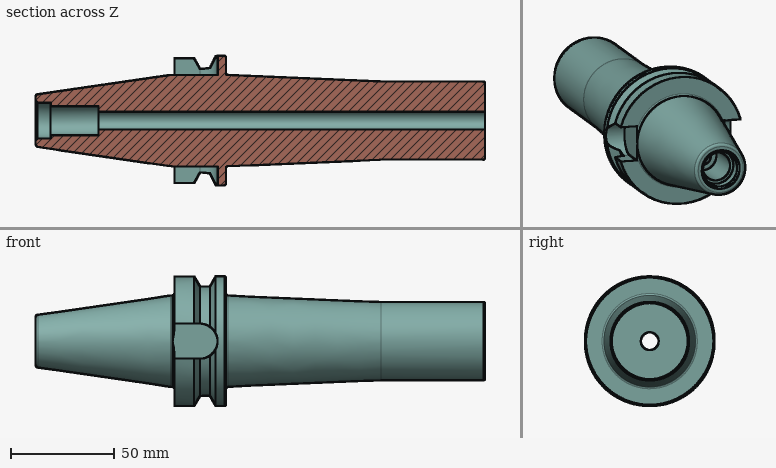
import cadquery as cq
import math

total_length = 218.0

taper_length = 65.4
taper_large_radius = 22.2
taper_rate = 7 / 24
nose_radius = taper_large_radius - taper_rate * taper_length / 2
nose_fillet = 1.5

flange_start = 67.3
flange_end = 92.4
flange_diameter = 63.0
flange_radius = flange_diameter / 2
flange_chamfer = 0.7
groove_floor_radius = 26.5
groove_floor_start = 79.8
groove_floor_end = 84.5
groove_flank_angle = 30.0
groove_flank_width = (flange_radius - groove_floor_radius) * math.tan(math.radians(groove_flank_angle))
root_fillet = 0.9

body_large_radius = 22.2
tip_diameter = 38.1
tip_radius = tip_diameter / 2
tip_start = 167.5
tip_chamfer = 0.7

slot_width = 17.0
slot_end = 88.2
slot_floor = 22.2

mouth_diameter = 19.2
pilot_diameter = 17.2
pilot_depth = 7.5
thread_bore_diameter = 14.0
thread_bore_depth = 30.5
through_diameter = 8.5
mouth_chamfer = (mouth_diameter - pilot_diameter) / 2


def turned_blank():
    """Outer shape, revolved from its half profile."""
    fillet_mid = root_fillet * (1 - math.sqrt(0.5))
    profile = (
        cq.Workplane("XY")
        .lineTo(0, nose_radius)
        .lineTo(taper_length, taper_large_radius)
        .lineTo(flange_start - root_fillet, taper_large_radius)
        .threePointArc(
            (flange_start - fillet_mid, taper_large_radius + fillet_mid),
            (flange_start, taper_large_radius + root_fillet),
        )
        .lineTo(flange_start, flange_radius)
        .lineTo(groove_floor_start - groove_flank_width, flange_radius)
        .lineTo(groove_floor_start, groove_floor_radius)
        .lineTo(groove_floor_end, groove_floor_radius)
        .lineTo(groove_floor_end + groove_flank_width, flange_radius)
        .lineTo(flange_end - flange_chamfer, flange_radius)
        .lineTo(flange_end, flange_radius - flange_chamfer)
        .lineTo(flange_end, body_large_radius + root_fillet)
        .threePointArc(
            (flange_end + fillet_mid, body_large_radius + fillet_mid),
            (flange_end + root_fillet, body_large_radius),
        )
        .lineTo(tip_start, tip_radius)
        .lineTo(total_length - tip_chamfer, tip_radius)
        .lineTo(total_length, tip_radius - tip_chamfer)
        .lineTo(total_length, 0)
        .close()
    )
    blank = profile.revolve(360, (0, 0, 0), (1, 0, 0))
    return blank.faces("<X").edges().fillet(nose_fillet)


def bore():
    """Chamfered pilot, thread bore and through hole along the axis."""
    pilot = cq.Workplane("YZ").circle(pilot_diameter / 2).extrude(pilot_depth)
    thread_bore = cq.Workplane("YZ").circle(thread_bore_diameter / 2).extrude(thread_bore_depth)
    through = cq.Workplane("YZ").circle(through_diameter / 2).extrude(total_length)
    mouth = cq.Solid.makeCone(
        mouth_diameter / 2,
        pilot_diameter / 2,
        mouth_chamfer,
        dir=cq.Vector(1, 0, 0),
    )
    return pilot.union(thread_bore).union(through).union(cq.Workplane(mouth))


def drive_slot(side):
    """Slot cutter on the +Y (side = 1) or -Y (side = -1) side of the flange."""
    half_width = slot_width / 2
    slot_start = flange_start - root_fillet
    arc_start = slot_end - half_width
    return (
        cq.Workplane("XZ", origin=(0, side * slot_floor, 0))
        .moveTo(slot_start, -half_width)
        .lineTo(arc_start, -half_width)
        .threePointArc((slot_end, 0), (arc_start, half_width))
        .lineTo(slot_start, half_width)
        .close()
        .extrude(-side * flange_radius)
    )


result = turned_blank().cut(bore())
for side in (-1, 1):
    result = result.cut(drive_slot(side))